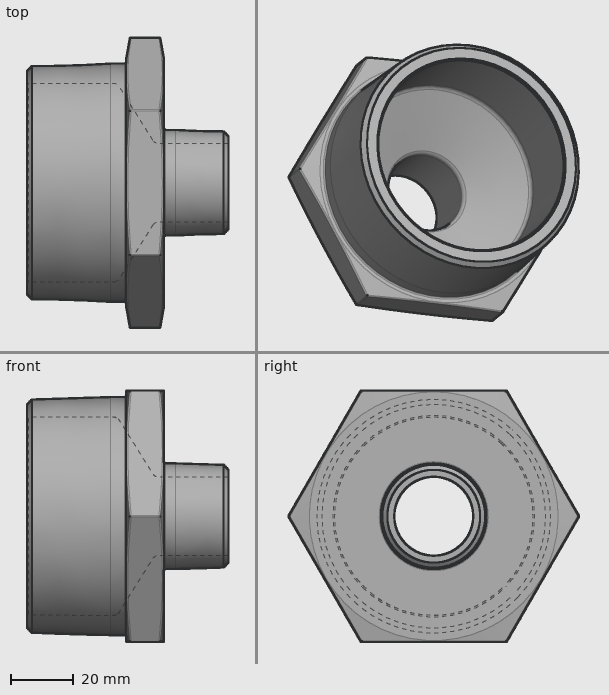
import cadquery as cq
import math


total_length = 64.0
hex_start = 31.5
hex_width = 12.0
hex_end = hex_start + hex_width
large_taper_end = 26.5
small_taper_start = 47.2

large_neck_diameter = 75.76
small_neck_diameter = 33.65
taper_on_diameter = 1 / 16
end_chamfer = 1.6
neck_fillet = 0.5

hex_across_flats = 80.0
hex_chamfer_radius = 39.5
hex_chamfer_angle = 10.0
hex_edge_fillet = 0.5

large_bore_diameter = 63.0
small_bore_diameter = 25.0
funnel_start = 28.7
funnel_half_angle = 58.0
funnel_fillet = 2.0
mouth_chamfer = 0.5


def revolve_about_x(profile):
    """Turn a closed profile of (x, radius) points about the X axis."""
    return profile.close().revolve(360, (0, 0, 0), (1, 0, 0))


def rim_edges(collar):
    """Edges where the sides of the hexagon meet the two shallow cones."""
    hex_middle = hex_start + hex_width / 2
    rims = []
    for edge in collar.edges().vals():
        centre = edge.Center()
        is_beside_a_face = abs(centre.x - hex_middle) > hex_width / 4
        is_off_axis = math.hypot(centre.y, centre.z) > hex_across_flats / 4
        if is_beside_a_face and is_off_axis:
            rims.append(edge)
    return rims


def hexagon_collar():
    """Hexagon with flats at +Z and -Z, corners turned off by a shallow cone on both faces."""
    across_corners = hex_across_flats / math.cos(math.pi / 6)
    prism = (
        cq.Workplane("YZ", origin=(hex_start, 0, 0))
        .polygon(6, across_corners)
        .extrude(hex_width)
        .edges("|X")
        .fillet(hex_edge_fillet)
    )
    outer_radius = across_corners / 2
    cone_drop = (outer_radius - hex_chamfer_radius) * math.tan(math.radians(hex_chamfer_angle))
    envelope = revolve_about_x(
        cq.Workplane("XZ")
        .moveTo(hex_start, 0)
        .lineTo(hex_start, hex_chamfer_radius)
        .lineTo(hex_start + cone_drop, outer_radius)
        .lineTo(hex_end - cone_drop, outer_radius)
        .lineTo(hex_end, hex_chamfer_radius)
        .lineTo(hex_end, 0)
    )
    collar = prism.intersect(envelope)
    return collar.newObject(rim_edges(collar)).fillet(hex_edge_fillet)


def threaded_end(neck_x, taper_x, tip_x, neck_diameter):
    """Solid end: cylinder beside the hexagon, tapered towards a chamfered tip."""
    direction = math.copysign(1, tip_x - neck_x)
    neck_radius = neck_diameter / 2
    chamfer_x = tip_x - direction * end_chamfer
    chamfer_radius = neck_radius - abs(chamfer_x - taper_x) * taper_on_diameter / 2
    flare_x = neck_x + direction * neck_fillet
    flare_centre_radius = neck_radius + neck_fillet
    flare_offset = neck_fillet * math.sqrt(0.5)
    return revolve_about_x(
        cq.Workplane("XZ")
        .moveTo(neck_x, 0)
        .lineTo(neck_x, flare_centre_radius)
        .threePointArc(
            (flare_x - direction * flare_offset, flare_centre_radius - flare_offset),
            (flare_x, neck_radius),
        )
        .lineTo(taper_x, neck_radius)
        .lineTo(chamfer_x, chamfer_radius)
        .lineTo(tip_x, chamfer_radius - end_chamfer)
        .lineTo(tip_x, 0)
    )


def bore():
    """Through passage: wide bore, rounded funnel, narrow bore."""
    large_radius = large_bore_diameter / 2
    small_radius = small_bore_diameter / 2
    funnel_length = (large_radius - small_radius) / math.tan(math.radians(funnel_half_angle))
    funnel_end = funnel_start + funnel_length
    passage = revolve_about_x(
        cq.Workplane("XZ")
        .lineTo(0, large_radius + mouth_chamfer)
        .lineTo(mouth_chamfer, large_radius)
        .lineTo(funnel_start, large_radius)
        .lineTo(funnel_end, small_radius)
        .lineTo(total_length, small_radius)
        .lineTo(total_length, 0)
    )
    funnel_rims = []
    for edge in passage.edges("%CIRCLE").vals():
        rim_x = edge.Center().x
        if funnel_start - funnel_fillet < rim_x < funnel_end + funnel_fillet:
            funnel_rims.append(edge)
    return passage.newObject(funnel_rims).fillet(funnel_fillet)


large_end = threaded_end(hex_start, large_taper_end, 0, large_neck_diameter)
small_end = threaded_end(hex_end, small_taper_start, total_length, small_neck_diameter)
result = hexagon_collar().union(large_end).union(small_end).cut(bore())